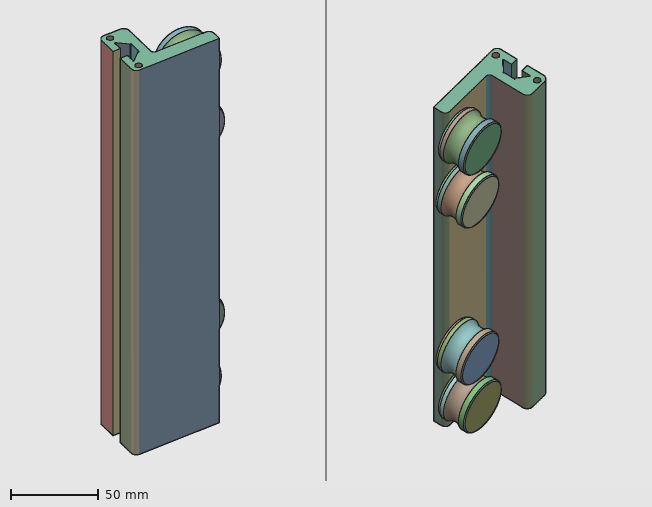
import cadquery as cq

rail_length = 280.0
rail_width = 38.0
base_height = 18.5
leg_height = 58.0
leg_thickness = 9.2
leg_face_x = rail_width - leg_thickness
corner_radius = 3.5
base_top_radius = 4.0
inner_radius = 2.5

slot_center_x = rail_width / 2
slot_mouth_width = 7.5
slot_lip_height = 5.0
slot_wide_width = 19.5
slot_roof_width = 8.5
slot_depth = 12.5
slot_side_height = 0.7

bore_diameter = 4.2
bore_inset = 4.0
bore_height = 5.3

roller_diameter = 35.0
roller_width = 19.5
rim_chamfer = 0.7
seat_bevel_width = 1.7
seat_bevel_depth = 0.8
groove_width = 11.0
groove_depth = 2.0
groove_center = 9.8
overall_depth = 68.3
roller_high_y = overall_depth - roller_diameter / 2
roller_y_offset = 2.2
end_roller_inset = 25.0
inner_roller_inset = 70.0


def make_rail():
    outline = [
        (0, 0),
        (rail_width, 0),
        (rail_width, leg_height),
        (leg_face_x, leg_height),
        (leg_face_x, base_height),
        (0, base_height),
    ]
    rail = cq.Workplane("XY").polyline(outline).close().extrude(rail_length)

    for x, y, radius in [
        (0, 0, corner_radius),
        (rail_width, 0, corner_radius),
        (0, base_height, base_top_radius),
        (leg_face_x, leg_height, corner_radius),
        (leg_face_x, base_height, inner_radius),
    ]:
        edge = cq.selectors.NearestToPointSelector((x, y, rail_length / 2))
        rail = rail.edges("|Z").edges(edge).fillet(radius)
    return rail.cut(make_slot()).cut(make_bores())


def make_slot():
    right_half = [
        (slot_mouth_width / 2, 0),
        (slot_mouth_width / 2, slot_lip_height),
        (slot_wide_width / 2, slot_lip_height),
        (slot_wide_width / 2, slot_lip_height + slot_side_height),
        (slot_roof_width / 2, slot_depth - slot_side_height),
        (slot_roof_width / 2, slot_depth),
    ]
    left_half = [(-x, y) for x, y in reversed(right_half)]
    return (
        cq.Workplane("XY")
        .center(slot_center_x, 0)
        .polyline(right_half + left_half)
        .close()
        .extrude(rail_length)
    )


def make_bores():
    centers = [(bore_inset, bore_height), (rail_width - bore_inset, bore_height)]
    return cq.Workplane("XY").pushPoints(centers).circle(bore_diameter / 2).extrude(rail_length)


def make_roller(center_y, center_z):
    radius = roller_diameter / 2
    groove_start = groove_center - groove_width / 2
    groove_end = groove_center + groove_width / 2
    roller = (
        cq.Workplane("XY")
        .moveTo(0, 0)
        .lineTo(0, radius - rim_chamfer)
        .lineTo(rim_chamfer, radius)
        .lineTo(groove_start, radius)
        .threePointArc((groove_center, radius - groove_depth), (groove_end, radius))
        .lineTo(roller_width - seat_bevel_width, radius)
        .lineTo(roller_width, radius - seat_bevel_depth)
        .lineTo(roller_width, 0)
        .close()
        .revolve(360, (0, 0, 0), (1, 0, 0))
    )
    return roller.translate((leg_face_x - roller_width, center_y, center_z))


rail = make_rail()

roller_centers = []
for inset, center_y in [
    (end_roller_inset, roller_high_y - roller_y_offset),
    (inner_roller_inset, roller_high_y),
]:
    roller_centers.append((center_y, inset))
    roller_centers.append((center_y, rail_length - inset))

rollers = [make_roller(y, z) for y, z in roller_centers]

result = cq.Compound.makeCompound([rail.val(), *[roller.val() for roller in rollers]])